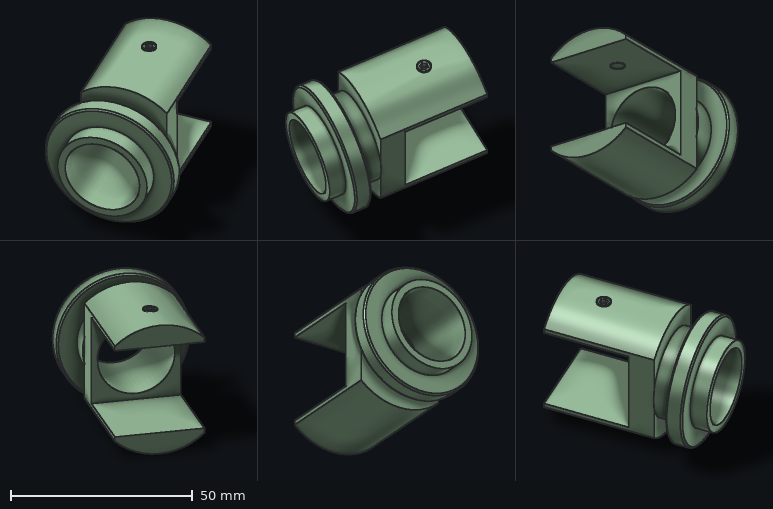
import cadquery as cq
import math

outer_diameter = 38.0
total_length = 49.0
bore_diameter = 22.0

tube_diameter = 26.4
spigot_length = 5.0
ring_thickness = 5.0
neck_length = 6.0
ring_chamfer = 0.5
tube_length = spigot_length + ring_thickness + neck_length

fork_width = 25.5
slot_height = 25.5
slot_depth = 25.4
fork_length = total_length - tube_length
slot_start = total_length - slot_depth

screw_diameter = 4.0
screw_length = 6.0
screw_chamfer = 0.25
screw_x = -0.65
screw_y = total_length - slot_depth / 2
screw_top = outer_diameter / 2 - 0.05
hex_across_flats = 2.0
hex_depth = 2.0
socket_cone_depth = 0.6


def cylinder_along_y(diameter, start, length):
    """Cylinder on the common axis, from Y = start towards +Y."""
    return cq.Workplane("XZ", origin=(0, start, 0)).circle(diameter / 2).extrude(-length)


def make_ring():
    """Plain ring with chamfered outer rims that fits around the tube."""
    disc = cylinder_along_y(outer_diameter, spigot_length, ring_thickness)
    disc = disc.edges("%CIRCLE").chamfer(ring_chamfer)
    return disc.cut(cylinder_along_y(tube_diameter, spigot_length, ring_thickness))


def make_fork():
    """Flat-sided fork with an open slot, continued by a tube whose bore runs into the slot."""
    round_bar = cylinder_along_y(outer_diameter, tube_length, fork_length)
    flat_sides = cq.Workplane("XY").box(fork_width, 2 * total_length, outer_diameter)
    slot = (
        cq.Workplane("XY")
        .box(fork_width, slot_depth, slot_height, centered=(True, False, True))
        .translate((0, slot_start, 0))
    )
    bore = cylinder_along_y(bore_diameter, 0, slot_start)
    screw_hole = (
        cq.Workplane("XY", origin=(screw_x, screw_y, 0))
        .circle(screw_diameter / 2)
        .extrude(outer_diameter / 2)
    )
    tube = cylinder_along_y(tube_diameter, 0, tube_length)
    solid_blank = round_bar.intersect(flat_sides).union(tube)
    return solid_blank.cut(slot).cut(bore).cut(screw_hole)


def make_set_screw():
    """Headless screw with a chamfered rim and a hexagon socket that ends in a cone."""
    top_center = (screw_x, screw_y, screw_top)
    body = cq.Workplane("XY", origin=top_center).circle(screw_diameter / 2).extrude(-screw_length)
    body = body.faces(">Z").chamfer(screw_chamfer)

    hex_radius = hex_across_flats / math.sqrt(3)
    hexagon = (
        cq.Workplane("XY", origin=top_center)
        .polygon(6, 2 * hex_radius)
        .extrude(-hex_depth - socket_cone_depth)
    )
    pointed_core = (
        cq.Workplane("XZ", origin=top_center)
        .polyline([(0, 0), (hex_radius, 0), (hex_radius, -hex_depth), (0, -hex_depth - socket_cone_depth)])
        .close()
        .revolve(360, (0, 0, 0), (0, 1, 0))
    )
    return body.cut(hexagon.intersect(pointed_core))


fork = make_fork()
ring = make_ring()
set_screw = make_set_screw()

result = cq.Compound.makeCompound([fork.val(), ring.val(), set_screw.val()])